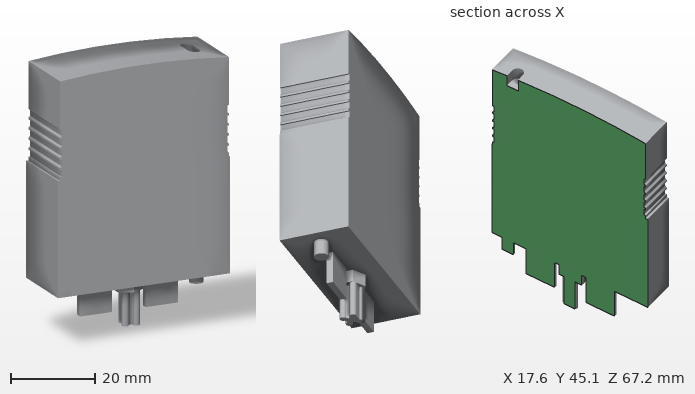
import cadquery as cq
import math

WIDTH = 17.6
DEPTH = 45.1
HOUSING_HEIGHT = 55.1
TAIL_LENGTH = 67.2 - HOUSING_HEIGHT
CROWN_RISE = 1.2
UPPER_INSET_FRONT = 0.6
UPPER_INSET_BACK = 0.2

GRIP_TOP = 41.9
SHOULDER_Z = 29.15
GRIP_BOTTOM = 30.1
GRIP_DEPTH = 0.435
RIDGE_COUNT = 4
RIDGE_PITCH = 2.52
FIRST_RIDGE_BOTTOM = 39.35
RIDGE_TIP_HEIGHT = 0.5
RIDGE_BASE_HEIGHT = 0.9

SLOT_LENGTH = 7.1
SLOT_WIDTH = 3.15
SLOT_Y = 16.4
SLOT_DEPTH = 4.0

BLADE_THICKNESS = 1.7
BLADE_LENGTH = 8.2
BLADE_WIDTH = 8.4
BLADE_CENTERS_Y = (8.45, -8.7)
PIN_DIAMETER = 3.5
PIN_LENGTH = 3.95
PIN_Y = 17.9
COLLAR_ACROSS_CORNERS = 7.65
COLLAR_HEIGHT = 3.15
COLLAR_CENTER = (-0.1, -0.2)

POST_LENGTH = TAIL_LENGTH - COLLAR_HEIGHT
POST_CENTER = (-0.55, 0.55)
POST_ANGLE = 216
ARM_REACH = 1.95
ARM_WIDTH = 1.35
LOBE_DIAMETER = 1.7
WEB_OFFSET_X_ARM = 0.4
WEB_OFFSET_Y_ARM = 0.75


def side_wall(y_edge, inset):
    """Profile points of one gripped wall, from the underside to the top."""
    outward = math.copysign(1, y_edge)
    y_upper = y_edge - outward * inset
    y_floor = y_upper - outward * GRIP_DEPTH
    points = [
        (y_edge, 0),
        (y_edge, SHOULDER_Z),
        (y_upper, SHOULDER_Z),
        (y_upper, GRIP_BOTTOM),
        (y_floor, GRIP_BOTTOM),
    ]
    for index in reversed(range(RIDGE_COUNT)):
        z = FIRST_RIDGE_BOTTOM - index * RIDGE_PITCH
        points += [
            (y_floor, z),
            (y_upper, z),
            (y_upper, z + RIDGE_TIP_HEIGHT),
            (y_floor, z + RIDGE_BASE_HEIGHT),
        ]
    points += [
        (y_floor, GRIP_TOP),
        (y_upper, GRIP_TOP),
        (y_upper, HOUSING_HEIGHT - CROWN_RISE),
    ]
    return points


def make_housing():
    front = side_wall(-DEPTH / 2, UPPER_INSET_FRONT)
    back = side_wall(DEPTH / 2, UPPER_INSET_BACK)
    crown_y = (front[-1][0] + back[-1][0]) / 2
    return (
        cq.Workplane("YZ")
        .polyline(front)
        .threePointArc((crown_y, HOUSING_HEIGHT), back[-1])
        .polyline(back[-2::-1], includeCurrent=True)
        .close()
        .extrude(WIDTH / 2, both=True)
    )


def make_slot():
    return (
        cq.Workplane("XY", origin=(0, SLOT_Y, HOUSING_HEIGHT - SLOT_DEPTH))
        .slot2D(SLOT_LENGTH, SLOT_WIDTH)
        .extrude(SLOT_DEPTH)
    )


def make_blade(y):
    return (
        cq.Workplane("XY")
        .center(0, y)
        .rect(BLADE_THICKNESS, BLADE_WIDTH)
        .extrude(-BLADE_LENGTH)
    )


def make_pin():
    return cq.Workplane("XY").center(0, PIN_Y).circle(PIN_DIAMETER / 2).extrude(-PIN_LENGTH)


def make_collar():
    return (
        cq.Workplane("XY")
        .center(*COLLAR_CENTER)
        .polygon(6, COLLAR_ACROSS_CORNERS)
        .extrude(-COLLAR_HEIGHT)
    )


def make_post():
    arm = cq.Workplane("XY").rect(2 * ARM_REACH, ARM_WIDTH).extrude(-POST_LENGTH)
    crossing_arm = arm.rotate((0, 0, 0), (0, 0, 1), 90)
    lobes = (
        cq.Workplane("XY")
        .polarArray(ARM_REACH, 0, 360, 4)
        .circle(LOBE_DIAMETER / 2)
        .extrude(-POST_LENGTH)
    )
    shift_x = WEB_OFFSET_X_ARM / math.sqrt(2)
    shift_y = WEB_OFFSET_Y_ARM / math.sqrt(2)
    web = (
        cq.Workplane("XY")
        .polyline([
            (0, 0),
            (ARM_REACH, 0),
            (ARM_REACH + shift_x, -shift_x),
            (shift_y, -ARM_REACH - shift_y),
            (0, -ARM_REACH),
        ])
        .close()
        .extrude(-POST_LENGTH)
    )
    post = arm.union(crossing_arm).union(lobes).union(web)
    return post.rotate((0, 0, 0), (0, 0, 1), POST_ANGLE).translate((*POST_CENTER, -COLLAR_HEIGHT))


result = make_housing().cut(make_slot())
for blade_y in BLADE_CENTERS_Y:
    result = result.union(make_blade(blade_y))
result = result.union(make_pin()).union(make_collar()).union(make_post())